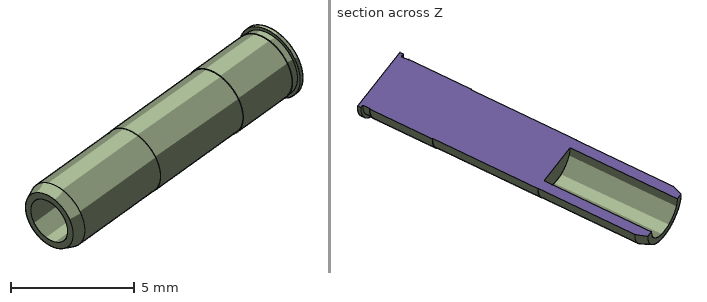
import cadquery as cq

length = 13.6
flange_diameter = 3.3
flange_thickness = 0.18
body_diameter = 3.0
press_ring_diameter = 3.06
front_diameter = 2.98
tip_diameter = 2.6
bore_diameter = 2.0

press_ring_start = 0.5
press_ring_end = 3.5
front_start = 8.5
tip_taper_length = 0.5


def cylinder(diameter, start, end):
    """Solid cylinder between two distances from the flange face, towards -Y."""
    return cq.Workplane("XZ", origin=(0, -start, 0)).circle(diameter / 2).extrude(end - start)


def tapered_tip():
    """Cone that narrows from the front section to the open end."""
    taper_start = length - tip_taper_length
    return (
        cq.Workplane("XZ", origin=(0, -taper_start, 0))
        .circle(front_diameter / 2)
        .workplane(offset=tip_taper_length)
        .circle(tip_diameter / 2)
        .loft(ruled=True)
    )


flange = cylinder(flange_diameter, 0, flange_thickness)
body = cylinder(body_diameter, 0, front_start)
press_ring = cylinder(press_ring_diameter, press_ring_start, press_ring_end)
front_section = cylinder(front_diameter, front_start, length - tip_taper_length)

bore = cylinder(bore_diameter, front_start, length)

result = body.union(flange).union(press_ring).union(front_section).union(tapered_tip()).cut(bore)